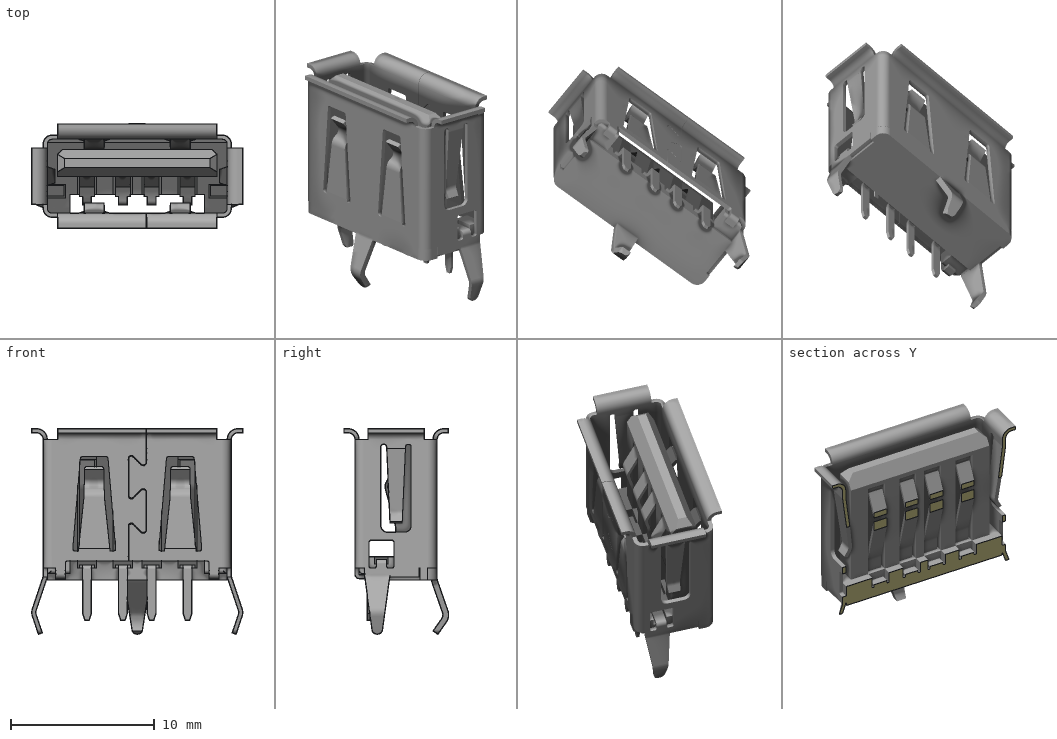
import cadquery as cq
import math


OVERLAP = 0.15

LENGTH = 14.68
DEPTH = 7.3
SHELL_X = 13.1
SHELL_Y = 5.73
SHELL_TOP = 9.79
SHELL_CORNER = 0.63
SHEET = 0.3
WALL_X = (SHELL_X - SHEET) / 2
WALL_Y = (SHELL_Y - SHEET) / 2
INNER_X = SHELL_X - 2 * SHEET
INNER_Y = SHELL_Y - 2 * SHEET
CORNER_CUT_TOP = 0.85
REAR_CORNER_ROUND = 0.69
FRONT_CORNER_CUT_X = 5.68
FRONT_CORNER_CUT_Y = 2.19
SIDE_BOTTOM = 0.23
SIDE_SLIT_Y = 1.67
SIDE_SLIT_WIDTH = 0.07

LIP_RISE = 0.75
LIP_LONG = 11.07
LIP_SHORT = 3.93
LIP_REACH_X = LENGTH / 2
LEG_PAST_REAR_LIP = 0.03
LIP_REACH_Y = (DEPTH - LEG_PAST_REAR_LIP) / 2

SEAM_GAP = 0.07
SEAM_HALF = 0.62
SEAM_ROUND = 0.2
SEAM_FIRST = 3.64
SEAM_PITCH = 2.35
SEAM_COUNT = 3

SPRING_X = 3.0
SPRING_ROOT = 2.2
SPRING_NECK = 5.77
SPRING_TOP = 7.93
SPRING_ROOT_WIDTH = 2.2
SPRING_NECK_WIDTH = 1.42
SPRING_TIP_WIDTH = 1.32
SPRING_TIP_CHAMFER = 0.12
SPRING_WINDOW_BOTTOM = 2.03
SPRING_WINDOW_TOP = 8.6
SPRING_WINDOW_BOTTOM_WIDTH = 3.01
SPRING_WINDOW_TOP_WIDTH = 1.91
SPRING_WINDOW_CORNER = 0.18
SPRING_BEND = 0.57
SPRING_KNEE_Y = -2.58
SPRING_KNEE_Z = 6.08
SPRING_PEAK_Y = -1.7
SPRING_PEAK_Z = 6.58
SPRING_TIP_Y = -2.73
SPRING_TIP_Z = 7.81

LEVER_ROOT = 9.16
LEVER_PEAK = 4.64
LEVER_TIP = 3.96
LEVER_PUSH = 0.57
LEVER_TIP_PUSH = 0.23
LEVER_TIP_MIDDLE = 4.02
LEVER_ROOT_WIDTH = 1.32
LEVER_TIP_WIDTH = 0.85
LEVER_BEND = 0.66
LEVER_WINDOW_WIDTH = 2.11
LEVER_WINDOW_BOTTOM = 3.35
LEVER_WINDOW_CORNER = 0.47
LEVER_SLIT_TOP = 9.45
LEVER_SLIT_ROUND = 0.19

TAB_Y = -1.01
TAB_WIDTH = 0.72
TAB_TOP = 1.44
TAB_END_X = 5.11
TAB_BEND = 0.16
TAB_NOTCH_END_X = 5.0
TAB_NOTCH_Y = -1.04
TAB_NOTCH_WIDTH = 0.94
TAB_WINDOW_WIDTH = 1.72
TAB_WINDOW_TOP = 2.77
TAB_SLIT_BOTTOM = 0.85
TAB_WINDOW_CORNER = 0.13

FRONT_BOTTOM = 1.35
FRONT_BOTTOM_CORNER = 0.18
FOOT_INNER_X = 5.0
FOOT_BOTTOM = 0.1
FOOT_LENGTH = 0.59
FOOT_BEND = 0.18
FOOT_NOTCH_TOP = 0.45
FOOT_NOTCH_ROUND = 0.23

LEG_BOTTOM = -3.76
LEG_BEND = 0.66
LEG_TIP_ROUND = 0.38
SIDE_LEG_Y = -1.3
SIDE_LEG_WIDTH = 1.75
SIDE_LEG_LEAN = 18.5
REAR_LEG_REACH = LIP_REACH_Y + LEG_PAST_REAR_LIP
REAR_LEG_WIDTH = 1.82
REAR_LEG_SHEET = 0.41
REAR_LEG_LEAN = 19.2
REAR_LEG_TIP_LEAN = 35.0

BASE_TOP = 1.65
BASE_REAR_CHAMFER = 0.23
RECESS_HALF_X = 4.67
RECESS_Y = -1.28
TONGUE_X = 11.07
TONGUE_FRONT = -0.03
TONGUE_REAR = 1.85
TONGUE_TOP = 10.13
TONGUE_FACE_CHAMFER = 0.63
TONGUE_FACE_CHAMFER_Z = 0.95
TONGUE_END_CHAMFER = 0.48
TONGUE_END_CHAMFER_Z = 0.45
TONGUE_REAR_CORNER = 0.32

CONTACT_X = (-3.5, -1.0, 1.0, 3.5)
CONTACT_SHEET = 0.2
CONTACT_WIDTH = 1.05
CONTACT_LEDGE_END = -1.42
CONTACT_TOP = 8.31
CONTACT_PEAK = 6.56
CONTACT_PEAK_Y = -0.7
CONTACT_PEAK_BEND = 0.59
CONTACT_TIP_Y = 0.18
CONTACT_BACK_Y = 0.37
CONTACT_BACK_TOP = 2.64
CONTACT_BEND = 0.18
SLOT_WIDTH = 1.35
SLOT_FLOOR = 0.84
SLOT_TOP = 8.84
SLOT_LIP_BOTTOM = 8.38
SLOT_LIP_Y = 0.28
PIN_Y = -1.91
PIN_WIDTH = 0.62
PIN_TIP_WIDTH = 0.31
PIN_BOTTOM = -2.79
PIN_TAPER = 0.47


def block(x0, x1, y0, y1, z0, z1):
    return cq.Workplane("XY").box(x1 - x0, y1 - y0, z1 - z0, centered=False).translate((x0, y0, z0))


def strip_along_y_z(points, x, width, thickness, bend):
    """Bent strip whose middle line runs through the (y, z) points, centred on x."""
    corners = [cq.Vector(x, y, z) for y, z in points]
    path = cq.Wire.makePolygon(corners)
    bends = [v for v in path.Vertices() if v.Center() not in (corners[0], corners[-1])]
    path = path.fillet(bend, bends)
    start = cq.Plane(corners[0], xDir=(1, 0, 0), normal=corners[1] - corners[0])
    return cq.Workplane(start).rect(width, thickness).sweep(cq.Workplane(path))


def strip_along_x_z(points, y, width, thickness, bend):
    """Bent strip whose middle line runs through the (x, z) points, centred on y."""
    turned = strip_along_y_z([(x, z) for x, z in points], 0, width, thickness, bend)
    return turned.rotate((0, 0, 0), (0, 0, 1), -90).translate((0, y, 0))


def outline_across_x(points):
    """Solid with an (x, z) outline, running the full depth of the part along Y."""
    return cq.Workplane("XZ").polyline(points).close().extrude(LENGTH, both=True)


def taper_outline(root_width, root_z, tip_width, tip_z):
    """(u, z) outline of a strip narrowing from root to tip."""
    return [
        (-root_width / 2, root_z),
        (root_width / 2, root_z),
        (tip_width / 2, tip_z),
        (-tip_width / 2, tip_z),
    ]


def turned_to_side(solid):
    """Turn a solid lying along Y so that it lies along X, with its width along Y."""
    return solid.rotate((0, 0, 0), (0, 0, 1), 90)


def both_ends(solid):
    return solid.union(solid.mirror("YZ"))



def shell_tube():
    outer = cq.Workplane("XY").rect(SHELL_X, SHELL_Y).extrude(SHELL_TOP).edges("|Z").fillet(SHELL_CORNER)
    inner = cq.Workplane("XY").rect(INNER_X, INNER_Y).extrude(SHELL_TOP)
    return outer.cut(inner.edges("|Z").fillet(SHELL_CORNER - SHEET))


def lips():
    bend = LIP_RISE - SHEET / 2
    lip_z = SHELL_TOP + bend
    root_z = SHELL_TOP - SHEET
    long_path = [(WALL_Y, root_z), (WALL_Y, lip_z), (LIP_REACH_Y, lip_z)]
    short_path = [(WALL_X, root_z), (WALL_X, lip_z), (LIP_REACH_X, lip_z)]
    rear = strip_along_y_z(long_path, 0, LIP_LONG, SHEET, bend)
    end = strip_along_x_z(short_path, 0, LIP_SHORT, SHEET, bend)
    return rear.union(rear.mirror("XZ")).union(both_ends(end))


def seam():
    top = SHELL_TOP + 2 * LIP_RISE
    points = [(-SHELL_X / 2, 0), (-SEAM_HALF, 0)]
    for i in range(SEAM_COUNT):
        middle = SEAM_FIRST + i * SEAM_PITCH
        side = -1 if i % 2 == 0 else 1
        points += [
            (side * SEAM_HALF, middle + SEAM_HALF),
            (-side * SEAM_HALF, middle - SEAM_HALF),
        ]
    points += [(SEAM_HALF, top), (-SHELL_X / 2, top)]
    half = cq.Workplane("XZ").polyline(points).close().extrude(LIP_REACH_Y)
    hooks = cq.selectors.BoxSelector((-SHELL_X / 4, -LENGTH, OVERLAP), (SHELL_X / 4, LENGTH, top - OVERLAP))
    half = half.edges("|Y").edges(hooks).fillet(SEAM_ROUND)
    outline = half.faces(">Y").wires()
    wide = outline.toPending().offset2D(SEAM_GAP / 2).extrude(LIP_REACH_Y)
    narrow = outline.toPending().offset2D(-SEAM_GAP / 2).extrude(LIP_REACH_Y)
    strip = block(-2 * SEAM_HALF, 2 * SEAM_HALF, -LENGTH, -INNER_Y / 2 + SHEET, SHEET, top - SHEET)
    return wide.cut(narrow).intersect(strip)


def corner_cuts():
    front = block(FRONT_CORNER_CUT_X, LENGTH, -LENGTH, -FRONT_CORNER_CUT_Y, -OVERLAP, CORNER_CUT_TOP)
    rear = front.mirror("XZ")
    inside = INNER_X / 2 - OVERLAP
    slit_front = SIDE_SLIT_Y - SIDE_SLIT_WIDTH
    slit = block(inside, LENGTH, slit_front, SIDE_SLIT_Y, -OVERLAP, CORNER_CUT_TOP)
    side = block(inside, LENGTH, -FRONT_CORNER_CUT_Y, SIDE_SLIT_Y, -OVERLAP, SIDE_BOTTOM)
    return both_ends(front.union(rear).union(slit).union(side))


def front_bottom_cut():
    back = -INNER_Y / 2 + OVERLAP
    opening = block(-FOOT_INNER_X, FOOT_INNER_X, -SHELL_Y, back, -OVERLAP, FRONT_BOTTOM)
    opening = opening.edges("|Y and >Z").fillet(FRONT_BOTTOM_CORNER)
    room_top = SHEET + FOOT_BEND
    foot_room = block(-FRONT_CORNER_CUT_X, FRONT_CORNER_CUT_X, -SHELL_Y, back, -OVERLAP, room_top)
    return opening.union(foot_room)


def feet():
    z = FOOT_BOTTOM + SHEET / 2
    path = [(-WALL_Y, CORNER_CUT_TOP), (-WALL_Y, z), (-WALL_Y + FOOT_LENGTH, z)]
    width = FRONT_CORNER_CUT_X - FOOT_INNER_X
    foot = strip_along_y_z(path, FOOT_INNER_X + width / 2, width, SHEET, FOOT_BEND)
    return both_ends(foot)


def spring_window():
    points = taper_outline(
        SPRING_WINDOW_BOTTOM_WIDTH, SPRING_WINDOW_BOTTOM, SPRING_WINDOW_TOP_WIDTH, SPRING_WINDOW_TOP
    )
    window = outline_across_x(points).edges("|Y").fillet(SPRING_WINDOW_CORNER)
    half = SPRING_ROOT_WIDTH / 2
    root = block(-half, half, -LENGTH, LENGTH, SPRING_WINDOW_BOTTOM - OVERLAP, SPRING_ROOT)
    return window.cut(root)


def spring():
    path = [
        (-WALL_Y, SPRING_ROOT - OVERLAP),
        (-WALL_Y, SPRING_ROOT),
        (SPRING_KNEE_Y, SPRING_KNEE_Z),
        (SPRING_PEAK_Y, SPRING_PEAK_Z),
        (SPRING_TIP_Y, SPRING_TIP_Z),
    ]
    bent = strip_along_y_z(path, 0, SPRING_ROOT_WIDTH, SHEET, SPRING_BEND)
    lower = taper_outline(SPRING_ROOT_WIDTH, SPRING_ROOT - OVERLAP, SPRING_NECK_WIDTH, SPRING_NECK)
    upper = taper_outline(SPRING_NECK_WIDTH, SPRING_NECK, SPRING_TIP_WIDTH, SPRING_TOP)
    tip = outline_across_x(upper).edges("|Y and >Z").chamfer(SPRING_TIP_CHAMFER)
    return bent.intersect(outline_across_x(lower).union(tip))


def lever_window():
    half = LEVER_WINDOW_WIDTH / 2
    slit = (LEVER_WINDOW_WIDTH - LEVER_ROOT_WIDTH) / 2
    window = block(-half, half, -SHEET, SHEET, LEVER_WINDOW_BOTTOM, LEVER_ROOT)
    window = window.edges("|Y and <Z").fillet(LEVER_WINDOW_CORNER)
    for side in (-1, 1):
        x = side * (half - slit / 2)
        top = block(x - slit / 2, x + slit / 2, -SHEET, SHEET, LEVER_PEAK, LEVER_SLIT_TOP)
        window = window.union(top.edges("|Y and >Z").fillet(LEVER_SLIT_ROUND))
    return turned_to_side(window).translate((WALL_X, 0, 0))


def lever():
    path = [
        (WALL_X, LEVER_ROOT + OVERLAP),
        (WALL_X, LEVER_ROOT),
        (WALL_X - LEVER_PUSH, LEVER_PEAK),
        (WALL_X - LEVER_TIP_PUSH, LEVER_TIP_MIDDLE),
    ]
    bent = strip_along_x_z(path, 0, LEVER_ROOT_WIDTH, SHEET, LEVER_BEND)
    points = taper_outline(LEVER_ROOT_WIDTH, LEVER_ROOT + OVERLAP, LEVER_TIP_WIDTH, LEVER_TIP)
    return bent.intersect(turned_to_side(outline_across_x(points)))


def tab_window():
    half = TAB_WINDOW_WIDTH / 2
    slit = (TAB_WINDOW_WIDTH - TAB_WIDTH) / 2
    fold_start = TAB_TOP - SHEET / 2 - TAB_BEND
    window = block(-half, half, -SHEET, SHEET, fold_start, TAB_WINDOW_TOP)
    window = window.edges("|Y and >Z").fillet(TAB_WINDOW_CORNER)
    for side in (-1, 1):
        x = side * (half - slit / 2)
        bottom = block(x - slit / 2, x + slit / 2, -SHEET, SHEET, TAB_SLIT_BOTTOM, TAB_TOP)
        window = window.union(bottom.edges("|Y and <Z").fillet(TAB_WINDOW_CORNER))
    return turned_to_side(window).translate((WALL_X, TAB_Y, 0))


def tab():
    z = TAB_TOP - SHEET / 2
    path = [(WALL_X, TAB_SLIT_BOTTOM), (WALL_X, z), (TAB_END_X, z)]
    return strip_along_x_z(path, TAB_Y, TAB_WIDTH, SHEET, TAB_BEND)


def leg_path(wall, top, reach, sheet, lean, tip_lean):
    """Middle line (out, z) of a leg that leans out to `reach`, then back in towards its tip."""
    lean = math.radians(lean)
    tip_lean = math.radians(tip_lean)
    bend_centre = reach - sheet / 2 - LEG_BEND
    bend_out = bend_centre + LEG_BEND * math.cos((lean - tip_lean) / 2) / math.cos((lean + tip_lean) / 2)
    bend_z = top - (bend_out - wall) / math.tan(lean)
    tip_z = LEG_BOTTOM + sheet / 2 * math.sin(tip_lean)
    tip_out = bend_out - (bend_z - tip_z) * math.tan(tip_lean)
    return [(wall, top + OVERLAP), (wall, top), (bend_out, bend_z), (tip_out, tip_z)]


def leg_outline(root_width, root_z):
    """Leg seen face on: tapered, with a round tip."""
    tip_z = LEG_BOTTOM + LEG_TIP_ROUND
    outline = cq.Workplane("XZ").moveTo(-root_width / 2, root_z + OVERLAP).lineTo(-root_width / 2, root_z)
    outline = outline.lineTo(-LEG_TIP_ROUND, tip_z).threePointArc((0, LEG_BOTTOM), (LEG_TIP_ROUND, tip_z))
    outline = outline.lineTo(root_width / 2, root_z).lineTo(root_width / 2, root_z + OVERLAP).close()
    return outline.extrude(LENGTH, both=True)


def side_leg():
    path = leg_path(WALL_X, SIDE_BOTTOM, LIP_REACH_X, SHEET, SIDE_LEG_LEAN, SIDE_LEG_LEAN)
    bent = strip_along_x_z(path, 0, SIDE_LEG_WIDTH, SHEET, LEG_BEND)
    leg = bent.intersect(turned_to_side(leg_outline(SIDE_LEG_WIDTH, SIDE_BOTTOM)))
    return leg.translate((0, SIDE_LEG_Y, 0))


def rear_leg():
    wall = (SHELL_Y - REAR_LEG_SHEET) / 2
    path = leg_path(wall, 0, REAR_LEG_REACH, REAR_LEG_SHEET, REAR_LEG_LEAN, REAR_LEG_TIP_LEAN)
    bent = strip_along_y_z(path, 0, REAR_LEG_WIDTH, REAR_LEG_SHEET, LEG_BEND)
    return bent.intersect(leg_outline(REAR_LEG_WIDTH, 0))


def shell():
    body = shell_tube().union(lips())
    body = body.cut(seam()).cut(corner_cuts()).cut(front_bottom_cut())
    body = body.cut(both_ends(lever_window().union(tab_window())))
    for x in (-SPRING_X, SPRING_X):
        body = body.cut(spring_window().translate((x, 0, 0)))
    for x in (-SPRING_X, SPRING_X):
        finger = spring().translate((x, 0, 0))
        body = body.union(finger).union(finger.mirror("XZ"))
    body = body.union(feet()).union(both_ends(lever().union(tab()).union(side_leg())))
    return body.union(rear_leg())



def base():
    body = cq.Workplane("XY").rect(INNER_X, INNER_Y).extrude(BASE_TOP)
    body = body.edges(">Y and >Z").chamfer(BASE_REAR_CHAMFER)
    body = body.edges("|Z").fillet(SHELL_CORNER - SHEET)
    recess = block(-RECESS_HALF_X, RECESS_HALF_X, -SHELL_Y, RECESS_Y, -OVERLAP, BASE_TOP + OVERLAP)
    body = body.cut(recess)
    tab_notch = block(
        TAB_NOTCH_END_X,
        INNER_X,
        TAB_NOTCH_Y - TAB_NOTCH_WIDTH / 2,
        TAB_NOTCH_Y + TAB_NOTCH_WIDTH / 2,
        TAB_TOP - SHEET,
        BASE_TOP + OVERLAP,
    )
    body = body.cut(foot_notch()).cut(both_ends(tab_notch))
    return body.union(both_ends(rear_corner()))


def foot_notch():
    """Room under the front posts for the folded feet; the posts' lower front edge is rounded."""
    face = -INNER_Y / 2
    round_top = FOOT_NOTCH_TOP + FOOT_NOTCH_ROUND
    return (
        cq.Workplane("YZ")
        .moveTo(face - OVERLAP, -OVERLAP)
        .lineTo(RECESS_Y, -OVERLAP)
        .lineTo(RECESS_Y, FOOT_NOTCH_TOP)
        .lineTo(face + FOOT_NOTCH_ROUND, FOOT_NOTCH_TOP)
        .radiusArc((face, round_top), FOOT_NOTCH_ROUND)
        .lineTo(face - OVERLAP, round_top)
        .close()
        .extrude(LENGTH, both=True)
    )


def rear_corner():
    """Plastic corner standing flush with the shell below its cut-away rear corner."""
    full = cq.Workplane("XY").rect(SHELL_X, SHELL_Y).extrude(CORNER_CUT_TOP)
    full = full.edges("|Z").fillet(REAR_CORNER_ROUND)
    return full.intersect(block(FRONT_CORNER_CUT_X, LENGTH, FRONT_CORNER_CUT_Y, LENGTH, 0, CORNER_CUT_TOP))


def tongue():
    body = block(-TONGUE_X / 2, TONGUE_X / 2, TONGUE_FRONT, TONGUE_REAR, 0, TONGUE_TOP)
    body = body.edges("|Z and >Y").chamfer(TONGUE_REAR_CORNER)
    shoulder = TONGUE_TOP - TONGUE_FACE_CHAMFER_Z
    face_shape = (
        cq.Workplane("YZ")
        .moveTo(TONGUE_FRONT, 0)
        .lineTo(TONGUE_FRONT, shoulder)
        .lineTo(TONGUE_FRONT + TONGUE_FACE_CHAMFER, TONGUE_TOP)
        .lineTo(TONGUE_REAR - TONGUE_FACE_CHAMFER, TONGUE_TOP)
        .lineTo(TONGUE_REAR, shoulder)
        .lineTo(TONGUE_REAR, 0)
        .close()
        .extrude(LENGTH, both=True)
    )
    end_shoulder = TONGUE_TOP - TONGUE_END_CHAMFER_Z
    ends = taper_outline(TONGUE_X, end_shoulder, TONGUE_X - 2 * TONGUE_END_CHAMFER, TONGUE_TOP)
    sides = taper_outline(TONGUE_X, 0, TONGUE_X, end_shoulder)
    end_shape = outline_across_x(sides).union(outline_across_x(ends))
    return body.intersect(face_shape).intersect(end_shape)


def contact_slot(x):
    back = CONTACT_BACK_Y + CONTACT_SHEET / 2
    left = x - SLOT_WIDTH / 2
    right = x + SLOT_WIDTH / 2
    ledge_slot = block(left, right, RECESS_Y - OVERLAP, TONGUE_FRONT, SLOT_FLOOR, BASE_TOP)
    blade_slot = block(left, right, TONGUE_FRONT - OVERLAP, back, BASE_TOP, SLOT_LIP_BOTTOM)
    lip_recess = block(left, right, TONGUE_FRONT - OVERLAP, SLOT_LIP_Y, SLOT_LIP_BOTTOM, SLOT_TOP)
    return ledge_slot.union(blade_slot).union(lip_recess)



def contact(x):
    ledge_z = SLOT_FLOOR + CONTACT_SHEET / 2
    blade_path = [
        (CONTACT_TIP_Y, CONTACT_TOP),
        (CONTACT_PEAK_Y, CONTACT_PEAK),
        (CONTACT_BACK_Y, CONTACT_BACK_TOP),
        (CONTACT_BACK_Y, BASE_TOP),
    ]
    blade = strip_along_y_z(blade_path, 0, CONTACT_WIDTH, CONTACT_SHEET, CONTACT_PEAK_BEND)
    ledge_path = [(CONTACT_BACK_Y, BASE_TOP), (CONTACT_BACK_Y, ledge_z), (CONTACT_LEDGE_END, ledge_z)]
    ledge = strip_along_y_z(ledge_path, 0, CONTACT_WIDTH, CONTACT_SHEET, CONTACT_BEND)
    pin = strip_along_y_z(
        [(CONTACT_LEDGE_END + OVERLAP, ledge_z), (PIN_Y, ledge_z), (PIN_Y, PIN_BOTTOM)],
        0,
        PIN_WIDTH,
        CONTACT_SHEET,
        CONTACT_BEND,
    )
    taper_start = PIN_BOTTOM + PIN_TAPER
    outline = outline_across_x(taper_outline(PIN_TIP_WIDTH, PIN_BOTTOM, PIN_WIDTH, taper_start))
    outline = outline.union(outline_across_x(taper_outline(PIN_WIDTH, taper_start, PIN_WIDTH, BASE_TOP)))
    return blade.union(ledge).union(pin.intersect(outline)).translate((x, 0, 0))


plastic = base().union(tongue())
for contact_x in CONTACT_X:
    plastic = plastic.cut(contact_slot(contact_x))

result = shell().union(plastic)
for contact_x in CONTACT_X:
    result = result.union(contact(contact_x))